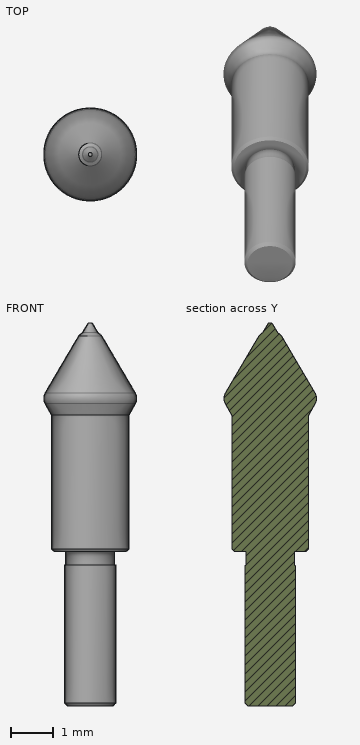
import cadquery as cq
import math

rim_diameter = 2.17

tail_radius = 0.6
neck_radius = 0.57
body_radius = 0.9
rim_radius = rim_diameter / 2
cone_top_radius = 0.27
tip_base_radius = 0.18
tip_flat_radius = 0.045

neck_bottom = 3.29
body_bottom = 3.6
body_top = 6.785
rim_middle = 7.18
cone_top = 8.64
tip_base = 8.72
total_height = 8.94

tail_chamfer = 0.07
body_chamfer = 0.06

rim_round_radius = 0.24
cone_lean = math.radians(30)
rim_half_height = rim_round_radius * math.sin(cone_lean)
rim_edge_radius = rim_radius - rim_round_radius * (1 - math.cos(cone_lean))

profile = (
    cq.Workplane("XZ")
    .moveTo(0, 0)
    .lineTo(tail_radius - tail_chamfer, 0)
    .lineTo(tail_radius, tail_chamfer)
    .lineTo(tail_radius, neck_bottom)
    .lineTo(neck_radius, neck_bottom)
    .lineTo(neck_radius, body_bottom)
    .lineTo(body_radius - body_chamfer, body_bottom)
    .lineTo(body_radius, body_bottom + body_chamfer)
    .lineTo(body_radius, body_top)
    .lineTo(rim_edge_radius, rim_middle - rim_half_height)
    .threePointArc((rim_radius, rim_middle), (rim_edge_radius, rim_middle + rim_half_height))
    .lineTo(cone_top_radius, cone_top)
    .lineTo(tip_base_radius, tip_base)
    .lineTo(tip_flat_radius, total_height)
    .lineTo(0, total_height)
    .close()
)

result = profile.revolve(360, (0, 0, 0), (0, 1, 0))